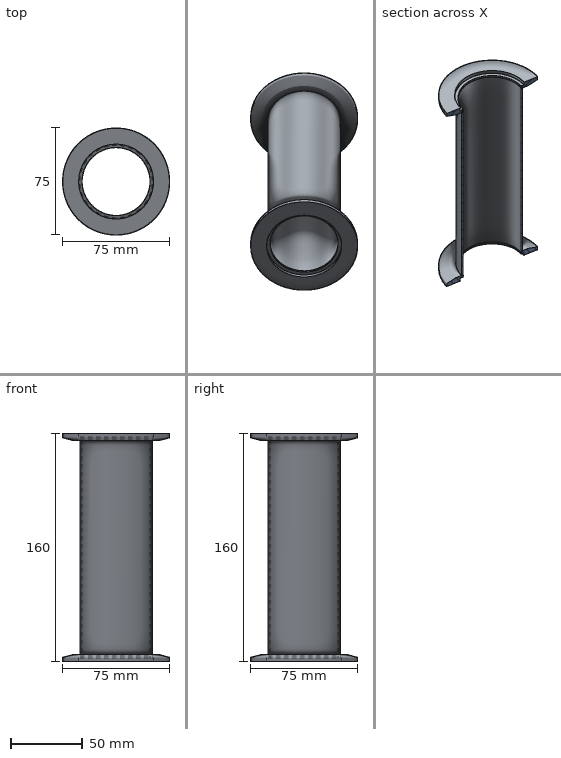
import cadquery as cq
import math

total_length = 160.0

flange_diameter = 75.0
rim_thickness = 3.0
rim_fillet_radius = 0.5
clamp_angle = 15.0
hub_diameter = 59.5
recess_diameter = 52.5
recess_depth = 2.5
lip_thickness = 1.5
bore_diameter = 47.7
socket_diameter = 51.0

radial_clearance = 0.11
tube_outer_diameter = socket_diameter - 2 * radial_clearance
tube_inner_diameter = 47.5

cone_height = (flange_diameter - hub_diameter) / 2 * math.tan(math.radians(clamp_angle))
flange_thickness = rim_thickness + cone_height
tube_inset = recess_depth + lip_thickness


def make_flange():
    """Bottom flange: sealing face at z = 0, tube socket opening upward."""
    profile = [
        (recess_diameter / 2, 0),
        (flange_diameter / 2, 0),
        (flange_diameter / 2, rim_thickness),
        (hub_diameter / 2, flange_thickness),
        (socket_diameter / 2, flange_thickness),
        (socket_diameter / 2, tube_inset),
        (bore_diameter / 2, tube_inset),
        (bore_diameter / 2, recess_depth),
        (recess_diameter / 2, recess_depth),
    ]
    flange = cq.Workplane("XZ").polyline(profile).close().revolve(360, (0, 0), (0, 1))
    rim_edge = flange.edges(cq.selectors.RadiusNthSelector(-1)).edges(">Z")
    return rim_edge.fillet(rim_fillet_radius)


def make_tube():
    """Plain tube seated against the lips of both flanges."""
    return (
        cq.Workplane("XY", origin=(0, 0, tube_inset))
        .circle(tube_outer_diameter / 2)
        .circle(tube_inner_diameter / 2)
        .extrude(total_length - 2 * tube_inset)
    )


tube = make_tube()

flanges = []
for turn, face_height in [(0, 0), (180, total_length)]:
    flange = make_flange().rotate((0, 0, 0), (1, 0, 0), turn).translate((0, 0, face_height))
    flanges.append(flange.val())

result = cq.Compound.makeCompound([tube.val(), *flanges])